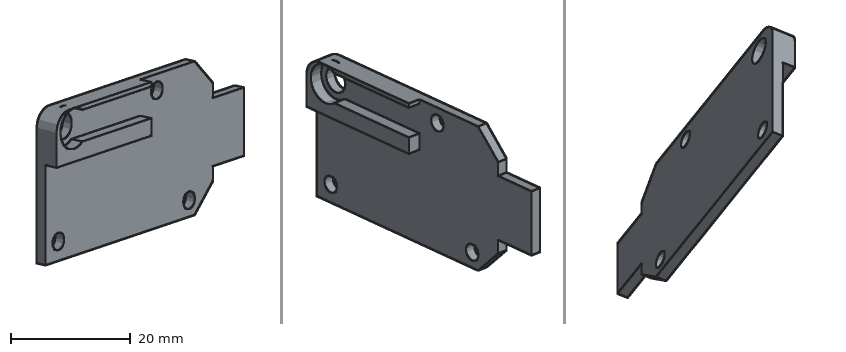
import cadquery as cq

plate_thickness = 1.96
body_length = 44.25
plate_height = 26.75
end_chamfer = 4.9

total_length = 52.38
tongue_bottom = 7.4
tongue_top = 19.3

overall_thickness = 4.33
block_length = 25.0
block_bottom = 17.4
corner_radius = 3.4

small_hole_diameter = 3.0
small_hole_centers = [(3.4, 3.4), (37.9, 2.9), (29.4, 23.9)]
large_hole_diameter = 4.6
large_hole_center = (4.6, 23.2)

recess_wall = 0.03
recess_radius = plate_height - large_hole_center[1] - recess_wall

channel_width = 5.5


def make_plate():
    chamfer_start = body_length - end_chamfer
    outline = [
        (0, 0),
        (chamfer_start, 0),
        (body_length, end_chamfer),
        (body_length, tongue_bottom),
        (total_length, tongue_bottom),
        (total_length, tongue_top),
        (body_length, tongue_top),
        (body_length, plate_height - end_chamfer),
        (chamfer_start, plate_height),
        (0, plate_height),
    ]
    return cq.Workplane("YZ").polyline(outline).close().extrude(plate_thickness)


def make_block():
    block_height = plate_height - block_bottom
    return (
        cq.Workplane("YZ")
        .moveTo(0, block_bottom)
        .rect(block_length, block_height, centered=False)
        .extrude(overall_thickness)
    )


def make_cylinder(centers, radius, start, end):
    return (
        cq.Workplane("YZ", origin=(start, 0, 0))
        .pushPoints(centers)
        .circle(radius)
        .extrude(end - start)
    )


def make_channel():
    hole_y, hole_z = large_hole_center
    return (
        cq.Workplane("YZ", origin=(plate_thickness, 0, 0))
        .moveTo(hole_y, hole_z - channel_width / 2)
        .rect(block_length - hole_y, channel_width, centered=False)
        .extrude(overall_thickness - plate_thickness)
    )


result = make_plate().union(make_block())
result = result.edges("|X and <Y and >Z").fillet(corner_radius)
result = result.cut(make_cylinder(small_hole_centers, small_hole_diameter / 2, 0, overall_thickness))
result = result.cut(make_cylinder([large_hole_center], large_hole_diameter / 2, 0, overall_thickness))
result = result.cut(make_cylinder([large_hole_center], recess_radius, plate_thickness, overall_thickness))
result = result.cut(make_channel())